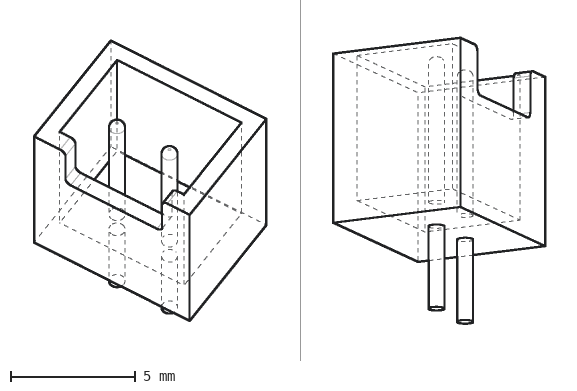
import cadquery as cq

width = 7.4
depth = 5.75
height = 7.0
side_wall = 0.75
front_wall = 0.75
back_wall = 0.7
floor_thickness = 1.0

notch_width = 4.6
notch_depth = 2.01
notch_center_x = 0.09
notch_radius = 0.25

pin_diameter = 0.65
pin_pitch = 2.5
pin_length = 10.4
pin_from_front = 2.35
tip_radius = 0.27

front_y = -depth / 2


def make_housing():
    """Box with an open-topped cavity."""
    box = cq.Workplane("XY").box(width, depth, height, centered=(True, True, False))
    cavity = (
        cq.Workplane("XY")
        .box(
            width - 2 * side_wall,
            depth - front_wall - back_wall,
            height - floor_thickness,
            centered=(True, False, False),
        )
        .translate((0, front_y + front_wall, floor_thickness))
    )
    return box.cut(cavity)


def make_notch():
    """Cutter with rounded lower corners and rounded lips at the rim."""
    left = notch_center_x - notch_width / 2
    right = notch_center_x + notch_width / 2
    bottom = height - notch_depth
    r = notch_radius
    return (
        cq.Workplane("XZ", origin=(0, front_y, 0))
        .moveTo(left - r, height)
        .radiusArc((left, height - r), r)
        .lineTo(left, bottom + r)
        .radiusArc((left + r, bottom), -r)
        .lineTo(right - r, bottom)
        .radiusArc((right, bottom + r), -r)
        .lineTo(right, height - r)
        .radiusArc((right + r, height), r)
        .close()
        .extrude(-front_wall)
    )


def make_pin(x):
    """Round pin with a rounded tip that ends in a small flat."""
    return (
        cq.Workplane("XY", origin=(x, front_y + pin_from_front, height - pin_length))
        .circle(pin_diameter / 2)
        .extrude(pin_length)
        .faces(">Z")
        .edges()
        .fillet(tip_radius)
    )


result = make_housing().cut(make_notch())
for pin_x in (-pin_pitch / 2, pin_pitch / 2):
    result = result.union(make_pin(pin_x))